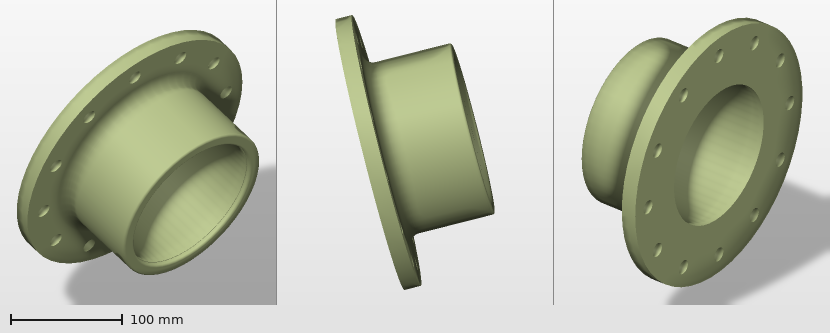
import cadquery as cq

flange_diameter = 250.0
flange_thickness = 15.0

overall_length = 95.0
hub_diameter = 158.0
bore_diameter = 134.0
root_fillet = 10.0
end_round = 2.0

recess_diameter = 135.0
recess_depth = 4.8

bolt_count = 12
bolt_hole_diameter = 13.5
bolt_circle_diameter = 212.0


def disc(diameter, length):
    """Solid cylinder along +X, starting at X = 0."""
    return cq.Workplane("YZ").circle(diameter / 2).extrude(length)


hub = disc(hub_diameter, overall_length)
body = disc(flange_diameter, flange_thickness).union(hub)

hub_root = cq.selectors.RadiusNthSelector(0)
body = body.faces("<X[1]").edges(hub_root).fillet(root_fillet)

recess = disc(recess_diameter, recess_depth).translate((overall_length - recess_depth, 0, 0))
body = body.cut(disc(bore_diameter, overall_length)).cut(recess)

body = body.faces(">X").edges().fillet(end_round)

bolt_holes = (
    cq.Workplane("YZ")
    .polarArray(bolt_circle_diameter / 2, 0, 360, bolt_count)
    .circle(bolt_hole_diameter / 2)
    .extrude(flange_thickness)
)

result = body.cut(bolt_holes)